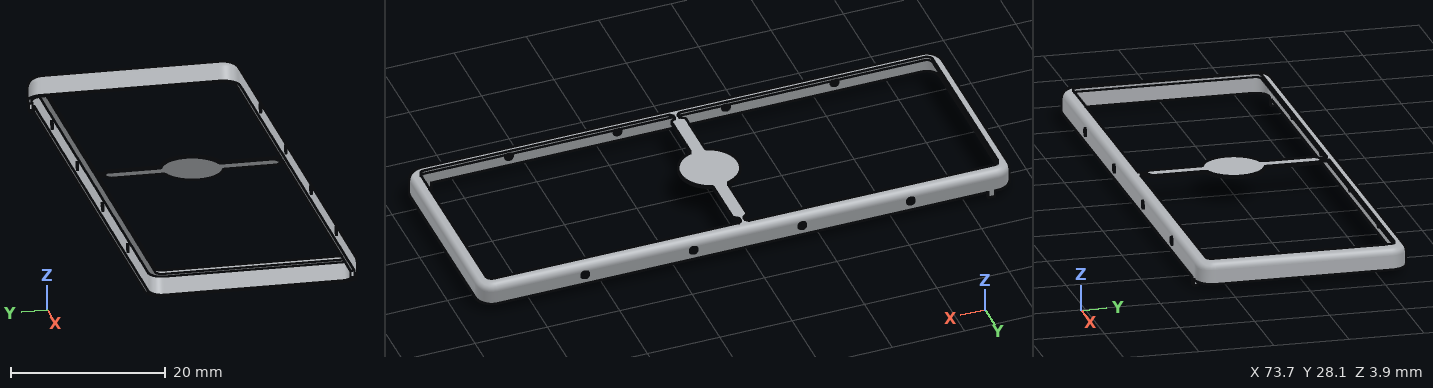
import cadquery as cq

length = 73.7
width = 28.1
total_height = 3.9
pin_drop = 0.9
frame_height = total_height - pin_drop
rim_width = 1.5
rim_thickness = 0.5
wall = 0.5
corner_radius = 2.3
edge_round = 1.1
inner_width = width - 2 * rim_width

hole_diameter = 1.0
hole_pitch = 15.0
hole_count = 4
hole_height = frame_height - 1.6

pin_length = 0.9
pin_inset = 3.2

plate_thickness = 0.3
disc_diameter = 8.0
arm_width = 2.0
arm_root_radius = 0.4
neck_width = 0.6
root_width = 1.3
root_flare_depth = 0.4
neck_end_depth = 0.95
shoulder_depth = 1.5


def inset_block(inset, height):
    """Block on Z = 0 whose rounded outline is the frame's outline moved inwards by inset."""
    block = cq.Workplane("XY").box(
        length - 2 * inset, width - 2 * inset, height, centered=(True, True, False)
    )
    return block.edges("|Z").fillet(corner_radius - inset)


def make_frame():
    """Thin upright wall with a wider rim turned inwards at the top."""
    outer = inset_block(0, frame_height).faces(">Z").edges().fillet(edge_round)
    opening = inset_block(rim_width, frame_height)
    hollow_under_rim = inset_block(wall, frame_height - rim_thickness)
    return outer.cut(opening).cut(hollow_under_rim)


def make_side_holes():
    return (
        cq.Workplane("XZ", origin=(0, 0, hole_height))
        .rarray(hole_pitch, 0.75, hole_count, 1)
        .circle(hole_diameter / 2)
        .extrude(width / 2, both=True)
    )


def make_pins():
    pin_x = length / 2 - pin_inset
    pin_y = (width - wall) / 2
    return (
        cq.Workplane("XY")
        .pushPoints([(pin_x, -pin_y), (-pin_x, pin_y)])
        .rect(pin_length, wall)
        .extrude(-pin_drop)
    )


def make_arm():
    """Arm towards +Y, narrowing to a neck that flares out at the frame."""
    frame_y = inner_width / 2
    right_edge = [
        (arm_width / 2, 0),
        (arm_width / 2, frame_y - shoulder_depth),
        (neck_width / 2, frame_y - neck_end_depth),
        (neck_width / 2, frame_y - root_flare_depth),
        (root_width / 2, frame_y),
    ]
    left_edge = [(-x, y) for x, y in reversed(right_edge)]
    return (
        cq.Workplane("XY", origin=(0, 0, frame_height - plate_thickness))
        .polyline(right_edge + left_edge)
        .close()
        .extrude(plate_thickness)
    )


def make_plate():
    disc = (
        cq.Workplane("XY", origin=(0, 0, frame_height - plate_thickness))
        .circle(disc_diameter / 2)
        .extrude(plate_thickness)
    )
    arm = make_arm()
    plate = disc.union(arm).union(arm.mirror("XZ"))
    arm_roots = cq.selectors.BoxSelector(
        (-arm_width, -disc_diameter / 2, 0),
        (arm_width, disc_diameter / 2, frame_height),
    )
    return plate.edges("|Z").edges(arm_roots).fillet(arm_root_radius)


result = make_frame().cut(make_side_holes()).union(make_pins()).union(make_plate())